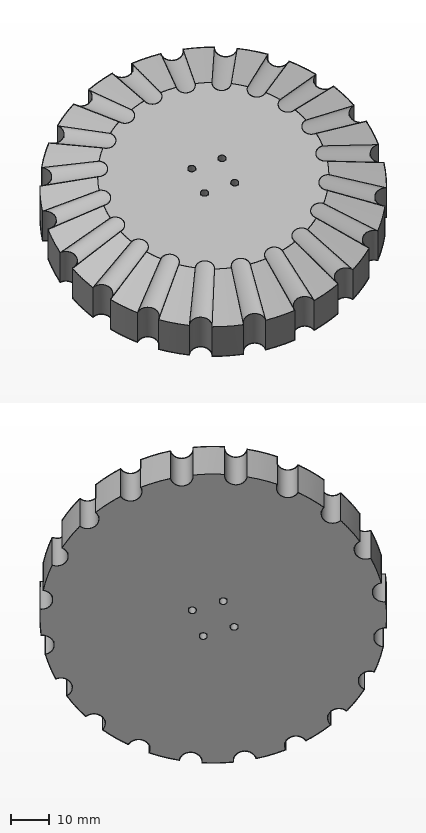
import cadquery as cq

outer_radius = 45.0
top_radius = 30.0
height = 18.0
rim_height = 13.0

groove_count = 20
groove_radius = 3.0
groove_inner_radius = 2.5

hole_count = 4
hole_diameter = 2.1
hole_circle_radius = 6.0


def make_body():
    """Disc with a straight rim and a conical upper face."""
    return (
        cq.Workplane("XZ")
        .polyline([
            (0, 0),
            (outer_radius, 0),
            (outer_radius, rim_height),
            (top_radius, height),
            (0, height),
        ])
        .close()
        .revolve(360, (0, 0), (0, 1))
    )


def make_groove_cutter():
    """Upright cylinder at the rim, continued up the slope as a narrowing oblique cone."""
    rim_cutter = cq.Workplane("XY").center(outer_radius, 0).circle(groove_radius).extrude(rim_height)
    slope_cutter = (
        cq.Workplane("XY", origin=(outer_radius, 0, rim_height))
        .circle(groove_radius)
        .workplane(offset=height - rim_height)
        .center(top_radius - outer_radius, 0)
        .circle(groove_inner_radius)
        .loft(ruled=True)
    )
    return rim_cutter.union(slope_cutter)


def cut_grooves(body):
    cutter = make_groove_cutter()
    for index in range(groove_count):
        angle = index * 360 / groove_count
        body = body.cut(cutter.rotate((0, 0, 0), (0, 0, 1), angle))
    return body


def cut_mounting_holes(body):
    holes = (
        cq.Workplane("XY")
        .polarArray(hole_circle_radius, 0, 360, hole_count)
        .circle(hole_diameter / 2)
        .extrude(height)
    )
    return body.cut(holes)


result = cut_mounting_holes(cut_grooves(make_body()))